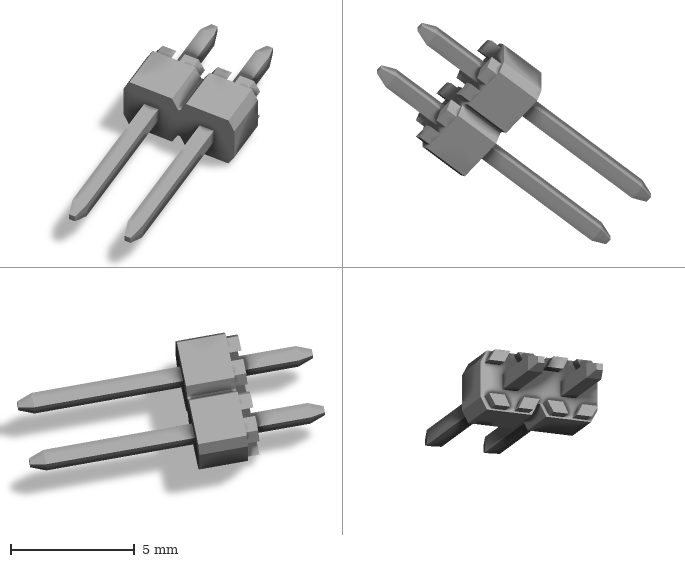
import cadquery as cq

pin_count = 2
pitch = 2.54

body_length = pin_count * pitch
body_depth = 2.0
body_height = 2.5
bevel_width = 0.27
bevel_height = 0.5
notch_floor_half_width = 0.05

pin_size = 0.645
tip_size = 0.28
tip_length = 0.63
pin_front_reach = 6.74
pin_rear_reach = 3.38

foot_depth = 0.5
foot_inner_x = 0.185
foot_outer_x = 1.11
foot_outer_slant = 0.28
foot_inner_slant = 0.24
foot_height = 0.48
foot_inset = 0.07

body_front_y = 0.0
body_rear_y = body_front_y + body_depth
half_height = body_height / 2
pin_positions = [(i - (pin_count - 1) / 2) * pitch for i in range(pin_count)]


def extrude_along_y(points, start_y, depth):
    """Extrude a closed XZ outline toward +Y from start_y."""
    plane = cq.Plane(origin=(0, start_y, 0), xDir=(1, 0, 0), normal=(0, -1, 0))
    return cq.Workplane(plane).polyline(points).close().extrude(-depth)


def make_body():
    """Block with bevelled long corners and V notches between the pins."""
    body = cq.Workplane("XY").box(body_length, body_depth, body_height)
    body = body.translate((0, body_front_y + body_depth / 2, 0))
    half_length = body_length / 2
    bevel_floor_z = half_height - bevel_height
    for side in (-1, 1):
        for end in (-1, 1):
            corner = [
                (end * half_length, side * bevel_floor_z),
                (end * half_length, side * half_height),
                (end * (half_length - bevel_width), side * half_height),
            ]
            body = body.cut(extrude_along_y(corner, body_front_y, body_depth))
        for left_pin_x in pin_positions[:-1]:
            notch_x = left_pin_x + pitch / 2
            mouth_half_width = notch_floor_half_width + bevel_width
            notch = [
                (notch_x - mouth_half_width, side * half_height),
                (notch_x - notch_floor_half_width, side * bevel_floor_z),
                (notch_x + notch_floor_half_width, side * bevel_floor_z),
                (notch_x + mouth_half_width, side * half_height),
            ]
            body = body.cut(extrude_along_y(notch, body_front_y, body_depth))
    return body


def make_tip(x, base_y, direction):
    """Pyramidal pin end tapering away from base_y along +Y or -Y."""
    plane = cq.Plane(origin=(x, base_y, 0), xDir=(1, 0, 0), normal=(0, direction, 0))
    return (
        cq.Workplane(plane)
        .rect(pin_size, pin_size)
        .workplane(offset=tip_length)
        .rect(tip_size, tip_size)
        .loft(ruled=True)
    )


def make_pin(x):
    """Square pin through the body, tapered at both ends."""
    shank_front_y = body_front_y - pin_front_reach + tip_length
    shank_rear_y = body_rear_y + pin_rear_reach - tip_length
    shank = cq.Workplane("XY").box(pin_size, shank_rear_y - shank_front_y, pin_size)
    shank = shank.translate((x, (shank_front_y + shank_rear_y) / 2, 0))
    return shank.union(make_tip(x, shank_front_y, -1)).union(make_tip(x, shank_rear_y, 1))


def make_foot(x, x_side, z_side):
    """Rear standoff whose flanks both slant outward from the pin toward mid-height."""
    top_z = half_height - foot_inset
    bottom_z = top_z - foot_height
    outline = [
        (foot_inner_x, top_z),
        (foot_outer_x - foot_outer_slant, top_z),
        (foot_outer_x, bottom_z),
        (foot_inner_x + foot_inner_slant, bottom_z),
    ]
    placed = [(x + x_side * px, z_side * pz) for px, pz in outline]
    return extrude_along_y(placed, body_rear_y, foot_depth)


result = make_body()
for pin_x in pin_positions:
    result = result.union(make_pin(pin_x))
    for x_side in (-1, 1):
        for z_side in (-1, 1):
            result = result.union(make_foot(pin_x, x_side, z_side))